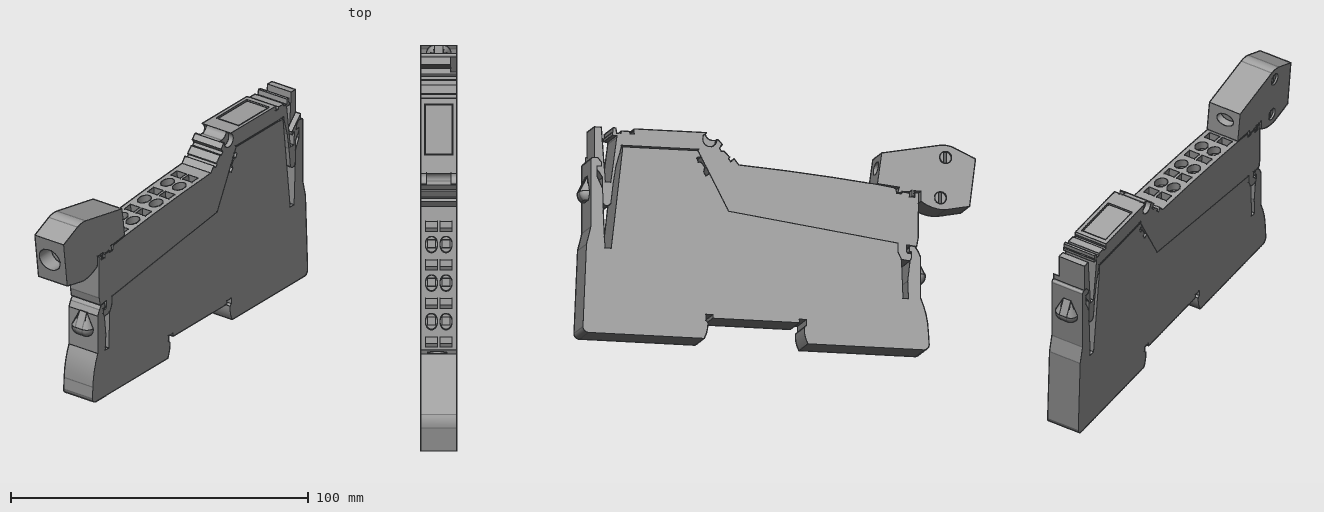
import cadquery as cq
import math

WIDTH = 12.1
HALF_WIDTH = WIDTH / 2

FOOT_HALF_LENGTH = 60.1
FOOT_CORNER = 1.9
FOOT_CORNER_INSET = FOOT_CORNER * (1 - math.sqrt(0.5))
RAIL_HALF_LENGTH = 17.5
RAIL_DEPTH = 8.3
RAIL_SEAT_HALF_LENGTH = 15.0
RAIL_SEAT_DEPTH = 7.1
RAIL_LIP_HALF_LENGTH = 16.8
RAIL_LIP_TOP = 6.3
RAIL_LIP_BOTTOM = 5.6
RAIL_BULGE_HALF_LENGTH = 17.0
RAIL_BULGE_HEIGHT = 2.5
RAIL_MOUTH_HALF_LENGTH = 18.0

REAR_ARM_Y = 57.4
FRONT_ARM_Y = -57.1
REAR_NUB_LEVEL = 49.0
FRONT_NUB_LEVEL = 26.5
NUB_RADIUS = 2.7
NUB_RISE = 5.5
NUB_DROP = 3.0
NUB_ROUND_REACH = 2.2
NUB_ROUND_DROP = 2.2
NUB_FLOOR_REACH = 1.4
NUB_FLAT_WIDTH = 2.9

TOP = 70.6
HOOK_TOP = 60.1
ROOF = 64.2
ROOF_GAP = 0.5
SHOULDER = (20.2, ROOF)
WAIST = (9.5, 44.0)
TAIL_SEAM = [(-49.2, 36.1), (-49.2, 33.1), (-50.4, 30.7)]
TAIL_TIP_SEAM = [(-53.4, 30.3), (-54.0, 31.5)]
HOOK_ROUND = ((54.5, 59.5), (53.7, 58.6))
HOOK_SEAM = [(54.9, HOOK_TOP), HOOK_ROUND, (53.7, 57.2), (55.2, 57.2)]
LEVER_SEAM = [(53.3, 49.6), (53.2, 44.7)]

LEVER_BACK_Y = 56.2
LEVER_SIDE_X = 4.0
LEVER_TOOTH_TIP = (51.2, 57.2)
LEVER_TOOTH_ROOT_Y = 53.2
LEVER_GROOVE_BOTTOM = 51.9
LEVER_GROOVE_Y = 50.4

MARKER_RECESS_WIDTH = 9.4
MARKER_RECESS_LENGTH = 17.0
MARKER_RECESS_DEPTH = 1.4
MARKER_CENTER_Y = 31.9
MARKER_GAP = 0.3
MARKER_THICKNESS = 1.0

SIDE_RECESS_CENTER = (16.1, 68.3)
SIDE_RECESS_RADIUS = 2.5
SIDE_RECESS_DEPTH = 1.9

SLOPE_TOP = (6.0, 60.1)
SLOPE_END = (-42.0, 55.9)
SLOPE_MIDDLE = (-17.9, 58.3)
SLOPE_ANGLE = math.degrees(math.atan2(SLOPE_TOP[1] - SLOPE_END[1], SLOPE_TOP[0] - SLOPE_END[0]))
TERMINAL_X = 2.5
TERMINAL_PITCH = 13.0
TEST_SLOT_FIRST_Y = -0.7
TEST_SLOT_ROWS = 4
TEST_SLOT_WIDTH = 4.0
TEST_SLOT_LENGTH = 3.4
TEST_SLOT_DEPTH = 13.6
WIRE_HOLE_FIRST_Y = -6.8
WIRE_HOLE_ROWS = 3
WIRE_HOLE_WIDTH = 4.1
WIRE_HOLE_LENGTH = 5.5
WIRE_HOLE_DEPTH = 2.7
WIRE_WELL_SIZE = 2.7
WIRE_WELL_DEPTH = 4.1
TOOL_CLEARANCE = 2.7

BORE_X = -0.5
BORE_FRONT = (-75.2, 58.3)
CABLE_EXIT = (-42.9, 62.4)
BORE_WIDTH = 8.7
BORE_HEIGHT = 7.9
BORE_DEPTH = 6.8
CABLE_EXIT_WIDTH = 6.5
CABLE_EXIT_HEIGHT = 4.4
CABLE_EXIT_DEPTH = 2.7
SCREW_CENTERS = [(-65.8, 66.4), (-64.0, 52.5)]
SCREW_RADIUS = 2.0
SCREW_SINK = 0.8
SCREW_SLOT_WIDTH = 0.8
SCREW_SLOT_DEPTH = 0.5


def prism(path, x_from=-HALF_WIDTH, x_to=HALF_WIDTH):
    """Extrude a closed (Y, Z) path along X.  A step is a point, or a (middle, end) pair for an arc."""
    sketch = cq.Workplane("YZ", origin=(x_from, 0, 0)).moveTo(*path[0])
    for step in path[1:]:
        if isinstance(step[0], tuple):
            sketch = sketch.threePointArc(*step)
        else:
            sketch = sketch.lineTo(*step)
    return sketch.close().extrude(x_to - x_from)


def rail_side(side):
    """Half of the rail notch from the base to the seat; side is +1 at the lever end, -1 at the other."""
    return [
        (side * RAIL_MOUTH_HALF_LENGTH, 0),
        (
            (side * RAIL_BULGE_HALF_LENGTH, RAIL_BULGE_HEIGHT),
            (side * RAIL_LIP_HALF_LENGTH, RAIL_LIP_BOTTOM),
        ),
        (side * RAIL_HALF_LENGTH, RAIL_LIP_TOP),
        (side * RAIL_HALF_LENGTH, RAIL_DEPTH),
        (side * RAIL_SEAT_HALF_LENGTH, RAIL_DEPTH),
        (side * RAIL_SEAT_HALF_LENGTH, RAIL_SEAT_DEPTH),
    ]


def thumb_nub(arm_y, level, outward):
    """Teardrop on the outer face of an arm: a flat middle strip with half a cone at each end."""

    def half_section(plane, origin):
        return (
            cq.Workplane(plane, origin=origin)
            .moveTo(0, NUB_RISE)
            .lineTo(outward * NUB_RADIUS, 0)
            .threePointArc(
                (outward * NUB_ROUND_REACH, -NUB_ROUND_DROP),
                (outward * NUB_FLOOR_REACH, -NUB_DROP),
            )
            .lineTo(0, -NUB_DROP)
            .close()
        )

    half_flat = NUB_FLAT_WIDTH / 2
    nub = half_section("YZ", (-half_flat, arm_y, level)).extrude(NUB_FLAT_WIDTH)
    for side in (-1, 1):
        end = half_section("YZ", (side * half_flat, arm_y, level))
        nub = nub.union(end.revolve(90, (0, 0), (0, 1 if side * outward < 0 else -1)))
    return nub


def seam_slot():
    """Opening with a lobe at each end along the sloping seam under the plug."""
    return prism(
        [(20.6, 61.6), (20.0, 62.1), (19.0, 62.1), (16.1, 56.7), (17.5, 55.7), (18.3, 57.1),
         (17.7, 58.5), (19.1, 60.4), (20.0, 60.2)]
    )


def make_housing():
    foot = FOOT_HALF_LENGTH
    rear_arm = [
        (foot, FOOT_CORNER), (58.9, 30.3), (REAR_ARM_Y, 36.3), (REAR_ARM_Y, 59.3),
        ((57.1, 59.8), (56.5, HOOK_TOP)), *HOOK_SEAM, (55.2, 53.5), *LEVER_SEAM, (52.5, 29.3),
    ]
    crown = [(50.3, 29.3), (46.5, 62.4), (46.3, ROOF), SHOULDER, WAIST, *TAIL_SEAM, (-51.0, 17.3)]
    front_arm = [
        (-52.9, 17.3), (-52.6, 23.3), *TAIL_TIP_SEAM, (-54.0, 33.4), (-53.2, 33.4), (-53.2, 34.8),
        (-53.5, 35.5), (-55.2, 35.2), (-56.2, 33.8), (FRONT_ARM_Y, 31.8), (FRONT_ARM_Y, 17.7),
        ((-59.0, 12.1), (-59.8, 6.1)), (-foot, FOOT_CORNER),
        ((FOOT_CORNER_INSET - foot, FOOT_CORNER_INSET), (FOOT_CORNER - foot, 0)),
    ]
    rear_corner = [
        (foot - FOOT_CORNER, 0),
        ((foot - FOOT_CORNER_INSET, FOOT_CORNER_INSET), (foot, FOOT_CORNER)),
    ]
    front_rail = rail_side(-1)
    rear_rail = rail_side(1)
    rear_rail_down = [
        *reversed(rear_rail[2:]), (RAIL_LIP_HALF_LENGTH, RAIL_LIP_BOTTOM), (rear_rail[1][0], rear_rail[0]),
    ]
    housing = prism([*rear_arm, *crown, *front_arm, *front_rail, *rear_rail_down, *rear_corner])
    housing = housing.cut(seam_slot())
    housing = housing.union(thumb_nub(REAR_ARM_Y, REAR_NUB_LEVEL, 1))
    return housing.union(thumb_nub(FRONT_ARM_Y, FRONT_NUB_LEVEL, -1))


def plug_profile():
    lever_front = [
        (LEVER_BACK_Y, HOOK_TOP), (LEVER_BACK_Y, TOP), (53.7, TOP), (52.3, LEVER_GROOVE_BOTTOM),
        (LEVER_GROOVE_Y, LEVER_GROOVE_BOTTOM),
    ]
    top_ridge = [
        (48.4, 67.3), (48.4, 68.0), (49.9, 68.0), (49.9, 69.0), (49.6, 69.2),
        (49.6, TOP), (48.7, TOP), (48.4, 68.8), (46.9, 68.8), (46.7, 69.6), (43.9, 69.6),
        (43.6, 68.8), (42.2, 68.8), (42.5, 69.8), (42.2, TOP),
    ]
    steps = [
        (17.2, TOP), ((16.2, 69.0), (14.6, 68.4)), (13.2, 68.4), (11.7, 66.8), (12.7, 65.4), (12.0, 64.5),
        (11.2, 64.6), (9.1, 62.5), (9.5, 62.0), (8.7, 61.0), (7.6, 62.1),
    ]
    slope = [SLOPE_TOP, (SLOPE_MIDDLE, SLOPE_END), (-48.4, 54.9)]
    box_notches = [
        (-48.8, 53.2), (-50.4, 53.2), (-50.8, 53.7), (-53.2, 53.4), (-53.2, 52.2), (-55.0, 52.2),
        (-55.0, 53.7), (-56.3, 53.7),
    ]
    tail_hook = [
        (-56.3, 38.3), (-55.7, 35.3), (-52.2, 35.7), (-52.2, 33.4), (-52.7, 32.7), (-54.0, 32.7),
        *reversed(TAIL_TIP_SEAM), ((-52.0, 30.4), TAIL_SEAM[-1]), *reversed(TAIL_SEAM[:-1]),
    ]
    underside = [WAIST, SHOULDER, (19.9, ROOF + ROOF_GAP), (46.7, ROOF + ROOF_GAP), (46.9, 63.6)]
    lever_back = [
        (48.7, 57.5), (49.6, 51.7), (50.4, 44.7), ((51.8, 43.7), LEVER_SEAM[1]), LEVER_SEAM[0],
        (53.3, 53.3), ((54.4, 54.9), (55.2, 56.0)), HOOK_SEAM[3], HOOK_SEAM[2], HOOK_ROUND[1],
        (HOOK_ROUND[0], HOOK_SEAM[0]),
    ]
    return [*lever_front, *top_ridge, *steps, *slope, *box_notches, *tail_hook, *underside, *lever_back]


def ramp_height(y):
    """Height at y of the 45-degree ramp on the +X edge of the lever."""
    return LEVER_TOOTH_TIP[1] + y - LEVER_TOOTH_TIP[0]


def lever_side_cut():
    """Removes the +X edge of the lever above its ramp."""
    return prism(
        [(LEVER_BACK_Y, ramp_height(LEVER_BACK_Y)), (LEVER_BACK_Y, TOP), (LEVER_GROOVE_Y, TOP),
         (LEVER_GROOVE_Y, ramp_height(LEVER_GROOVE_Y))],
        LEVER_SIDE_X,
        HALF_WIDTH,
    )


def lever_tooth():
    """Small catch that carries the ramp on into the groove behind the lever."""
    return prism(
        [(LEVER_TOOTH_ROOT_Y, ramp_height(LEVER_TOOTH_ROOT_Y)), LEVER_TOOTH_TIP, (51.5, 56.0),
         (52.3, 56.7), (LEVER_TOOTH_ROOT_Y, 56.7)],
        LEVER_SIDE_X,
        HALF_WIDTH,
    )


def side_recess(x_from):
    disc = cq.Workplane("YZ", origin=(x_from, 0, 0)).center(*SIDE_RECESS_CENTER)
    return disc.circle(SIDE_RECESS_RADIUS).extrude(SIDE_RECESS_DEPTH)


def on_slope(tool, x, y):
    """Tilt a tool that points down from the origin and set it on the plug slope at (x, y)."""
    start_y, start_z = SLOPE_TOP
    middle_y, middle_z = SLOPE_MIDDLE
    z = start_z + (y - start_y) * (middle_z - start_z) / (middle_y - start_y)
    if y < middle_y:
        end_y, end_z = SLOPE_END
        z = middle_z + (y - middle_y) * (end_z - middle_z) / (end_y - middle_y)
    return tool.rotate((0, 0, 0), (1, 0, 0), SLOPE_ANGLE).translate((x, y, z))


def test_slot_tool():
    height = TEST_SLOT_DEPTH + TOOL_CLEARANCE
    tool = cq.Workplane("XY", origin=(0, 0, -TEST_SLOT_DEPTH))
    return tool.rect(TEST_SLOT_WIDTH, TEST_SLOT_LENGTH).extrude(height)


def wire_hole_tool():
    mouth = (
        cq.Workplane("XY", origin=(0, 0, -WIRE_HOLE_DEPTH))
        .ellipse(WIRE_HOLE_WIDTH / 2, WIRE_HOLE_LENGTH / 2)
        .extrude(WIRE_HOLE_DEPTH + TOOL_CLEARANCE)
    )
    well = cq.Workplane("XY", origin=(0, 0, -WIRE_WELL_DEPTH))
    return mouth.union(well.rect(WIRE_WELL_SIZE, WIRE_WELL_SIZE).extrude(WIRE_WELL_DEPTH))


def marker_recess():
    return (
        cq.Workplane("XY", origin=(0, MARKER_CENTER_Y, TOP - MARKER_RECESS_DEPTH))
        .rect(MARKER_RECESS_WIDTH, MARKER_RECESS_LENGTH)
        .extrude(MARKER_RECESS_DEPTH)
    )


def make_plug():
    plug = prism(plug_profile())
    plug = plug.cut(lever_side_cut()).union(lever_tooth()).cut(marker_recess())
    for x_from in (-HALF_WIDTH, HALF_WIDTH - SIDE_RECESS_DEPTH):
        plug = plug.cut(side_recess(x_from))
    for x in (-TERMINAL_X, TERMINAL_X):
        for row in range(TEST_SLOT_ROWS):
            y = TEST_SLOT_FIRST_Y - row * TERMINAL_PITCH
            plug = plug.cut(on_slope(test_slot_tool(), x, y))
        for row in range(WIRE_HOLE_ROWS):
            y = WIRE_HOLE_FIRST_Y - row * TERMINAL_PITCH
            plug = plug.cut(on_slope(wire_hole_tool(), x, y))
    return plug


def make_marker():
    """Label plate lying on the floor of its recess with a small gap all round."""
    return (
        cq.Workplane("XY", origin=(0, MARKER_CENTER_Y, TOP - MARKER_RECESS_DEPTH))
        .rect(MARKER_RECESS_WIDTH - 2 * MARKER_GAP, MARKER_RECESS_LENGTH - 2 * MARKER_GAP)
        .extrude(MARKER_THICKNESS)
    )


def box_bore(mouth, width, height, depth):
    """Blind oval bore along Y into the box; a positive depth runs toward +Y."""
    overall = depth + math.copysign(TOOL_CLEARANCE, depth)
    y, z = mouth
    start = y - math.copysign(TOOL_CLEARANCE, depth)
    return (
        cq.Workplane("XZ", origin=(BORE_X, start, z))
        .ellipse(width / 2, height / 2)
        .extrude(-overall)
    )


def screw_recess(center):
    """Shallow round recess in the -X face with a screwdriver slot in its floor."""
    face = cq.Workplane("YZ", origin=(-HALF_WIDTH, 0, 0)).center(*center)
    slot_length = 2 * math.sqrt(SCREW_RADIUS**2 - (SCREW_SLOT_WIDTH / 2) ** 2)
    slot = face.rect(SCREW_SLOT_WIDTH, slot_length).extrude(SCREW_SINK + SCREW_SLOT_DEPTH)
    return face.circle(SCREW_RADIUS).extrude(SCREW_SINK).union(slot)


def make_cable_box():
    hooks = [
        (-54.8, 54.4), (-54.8, 52.5), (-54.1, 52.5), (-54.1, 54.5), (-53.3, 54.0), (-50.7, 54.0),
        (-50.0, 53.4), (-49.2, 53.5), (-49.7, 55.3),
    ]
    box = prism(
        [(-42.1, 56.2), (-43.6, 66.8), (-63.9, 70.5), ((-66.4, 70.5), (-68.4, 69.9)), (-76.2, 66.4),
         (-74.1, 50.0), (-65.5, 48.4), ((-60.8, 49.0), (-57.2, 50.8)), (-57.2, 54.4), *hooks]
    )
    box = box.cut(box_bore(BORE_FRONT, BORE_WIDTH, BORE_HEIGHT, BORE_DEPTH))
    box = box.cut(box_bore(CABLE_EXIT, CABLE_EXIT_WIDTH, CABLE_EXIT_HEIGHT, -CABLE_EXIT_DEPTH))
    for center in SCREW_CENTERS:
        box = box.cut(screw_recess(center))
    return box


housing = make_housing()
plug = make_plug()
marker = make_marker()
cable_box = make_cable_box()

bodies = [housing, plug, marker, cable_box]
result = cq.Compound.makeCompound([body.solids().val() for body in bodies])